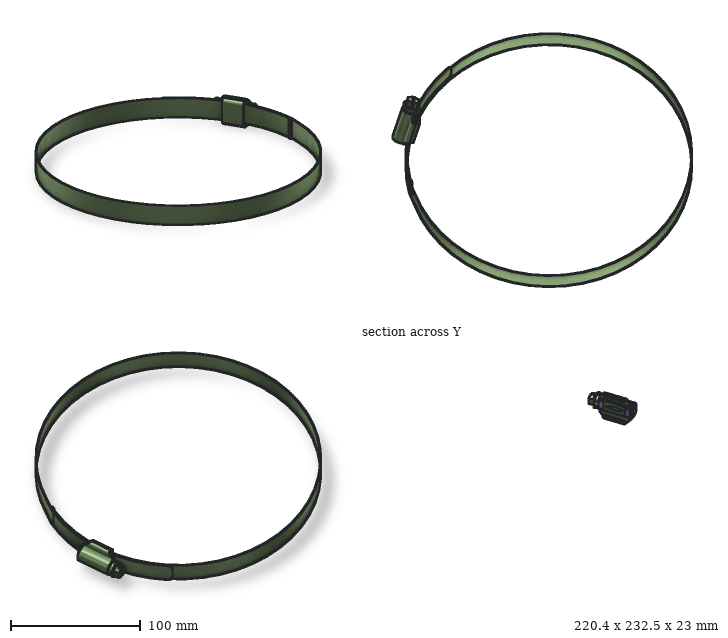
import cadquery as cq
import math

BAND_RADIUS = 110.2
BAND_THICKNESS = 0.7
BAND_WIDTH = 16.0
LAYER_STEP = 1.0
CRIMP_DEPTH = 0.7
INNER_END_ANGLE = 59.8
CRIMP_FOOT_ANGLE = 61.3
CRIMP_TOP_ANGLE = 62.1
RAMP_START_ANGLE = 55.1
RAMP_END_ANGLE = 61.0
TAIL_ANGLE = 120.5
TAIL_CORNER_RADIUS = 3.7
FULL_TURN = 360.0
OVERLAP_RADIUS = BAND_RADIUS + LAYER_STEP

SCREW_Y = 116.0
SHANK_RADIUS = 4.6
COLLAR_RADIUS = 5.3
FLANGE_RADIUS = 6.3
FLANGE_THICKNESS = 0.5
HEAD_ACROSS_FLATS = 8.5
HEAD_START_X = -23.0
FLANGE_START_X = -18.1
SLOT_WIDTH = 1.5
SLOT_DEPTH = 2.5
PILOT_RADIUS = 3.0
PILOT_END_X = 15.3

HOUSING_HALF_LENGTH = 13.7
BARREL_RADIUS = 6.3
WING_TOP_Y = 113.6
WING_THICKNESS = 1.5
WING_UNDERSIDE_Y = WING_TOP_Y - WING_THICKNESS
HOOK_TIP_Y = 110.0
HOOK_THICKNESS = 1.2
HOUSING_HALF_WIDTH = 23.0 / 2
HOOK_BEND_RADIUS = 2.0
HOOK_INNER_RADIUS = HOOK_BEND_RADIUS - HOOK_THICKNESS
LEG_BEND_RADIUS = 0.5
BAND_GAP = 0.5
WING_TIP_HALF_LENGTH = 18.0 / 2

SADDLE_HALF_LENGTH = WING_TIP_HALF_LENGTH
SADDLE_BOTTOM_Y = 106.5
SADDLE_THICKNESS = 2.0
SADDLE_BEND_RADIUS = 2.8
SADDLE_HALF_WIDTH = HOUSING_HALF_WIDTH - HOOK_THICKNESS
SADDLE_TOP_Y = WING_UNDERSIDE_Y - HOOK_INNER_RADIUS


def polar(radius, angle):
    return (radius * math.cos(math.radians(angle)), radius * math.sin(math.radians(angle)))


def trace_face(sketch, stations, offset):
    """Follow one face of the strip: arcs at constant radius, straight lines where it changes."""
    for (angle, radius), (next_angle, next_radius) in zip(stations, stations[1:]):
        end = polar(next_radius + offset, next_angle)
        if radius == next_radius:
            middle = polar(radius + offset, (angle + next_angle) / 2)
            sketch = sketch.threePointArc(middle, end)
        else:
            sketch = sketch.lineTo(*end)
    return sketch


def make_band():
    ring = BAND_RADIUS - BAND_THICKNESS
    stations = [
        (INNER_END_ANGLE, ring - CRIMP_DEPTH),
        (CRIMP_FOOT_ANGLE, ring - CRIMP_DEPTH),
        (CRIMP_TOP_ANGLE, ring),
        (FULL_TURN + RAMP_START_ANGLE, ring),
        (FULL_TURN + RAMP_END_ANGLE, ring + LAYER_STEP),
        (FULL_TURN + TAIL_ANGLE, ring + LAYER_STEP),
    ]
    start_angle, start_radius = stations[0]
    tail_angle, tail_radius = stations[-1]
    outline = cq.Workplane("XY").workplane(offset=-BAND_WIDTH / 2)
    outline = outline.moveTo(*polar(start_radius, start_angle))
    outline = trace_face(outline, stations, 0)
    outline = outline.lineTo(*polar(tail_radius + BAND_THICKNESS, tail_angle))
    outline = trace_face(outline, stations[::-1], BAND_THICKNESS)
    strip = outline.close().extrude(BAND_WIDTH)
    tail_x, tail_y = polar(tail_radius + BAND_THICKNESS / 2, tail_angle)
    for tail_z in (-BAND_WIDTH / 2, BAND_WIDTH / 2):
        tail_corner = cq.selectors.NearestToPointSelector((tail_x, tail_y, tail_z))
        strip = strip.edges(tail_corner).fillet(TAIL_CORNER_RADIUS)
    return strip


def screw_plane(x):
    """Plane square to the screw axis; local x is +Y and local y is +Z."""
    return cq.Workplane("YZ", origin=(x, SCREW_Y, 0))


def make_screw():
    flange_end = FLANGE_START_X + FLANGE_THICKNESS
    corner_diameter = HEAD_ACROSS_FLATS / math.cos(math.pi / 6)
    head = (
        screw_plane(HEAD_START_X)
        .transformed(rotate=(0, 0, 90))
        .polygon(6, corner_diameter)
        .extrude(FLANGE_START_X - HEAD_START_X)
    )
    slot = screw_plane(HEAD_START_X).rect(SLOT_WIDTH, 2 * corner_diameter).extrude(SLOT_DEPTH)
    flange = screw_plane(FLANGE_START_X).circle(FLANGE_RADIUS).extrude(FLANGE_THICKNESS)
    collar = screw_plane(flange_end).circle(COLLAR_RADIUS).extrude(-HOUSING_HALF_LENGTH - flange_end)
    shank = screw_plane(-HOUSING_HALF_LENGTH).circle(SHANK_RADIUS).extrude(2 * HOUSING_HALF_LENGTH)
    pilot = screw_plane(HOUSING_HALF_LENGTH).circle(PILOT_RADIUS).extrude(PILOT_END_X - HOUSING_HALF_LENGTH)
    return head.cut(slot).union(flange).union(collar).union(shank).union(pilot)


def make_channel(half_length, half_width, rounded_y, square_y, bend_radius):
    """Solid bar along X from rounded_y to square_y, its two long edges at rounded_y rounded."""
    bar = (
        cq.Workplane("YZ", origin=(-half_length, 0, 0))
        .center((rounded_y + square_y) / 2, 0)
        .rect(abs(square_y - rounded_y), 2 * half_width)
        .extrude(2 * half_length)
    )
    rounded_side = "<Y" if rounded_y < square_y else ">Y"
    return bar.faces(rounded_side).edges("|X").fillet(bend_radius)


def make_housing():
    length = 2 * HOUSING_HALF_LENGTH
    hooks = make_channel(HOUSING_HALF_LENGTH, HOUSING_HALF_WIDTH, WING_TOP_Y, HOOK_TIP_Y, HOOK_BEND_RADIUS)
    hollow = make_channel(
        HOUSING_HALF_LENGTH,
        HOUSING_HALF_WIDTH - HOOK_THICKNESS,
        WING_UNDERSIDE_Y,
        HOOK_TIP_Y,
        HOOK_INNER_RADIUS,
    )
    taper = HOUSING_HALF_WIDTH - (HOUSING_HALF_LENGTH - WING_TIP_HALF_LENGTH)
    footprint = (
        cq.Workplane("XZ")
        .polyline([
            (-HOUSING_HALF_LENGTH, -taper),
            (-WING_TIP_HALF_LENGTH, -HOUSING_HALF_WIDTH),
            (WING_TIP_HALF_LENGTH, -HOUSING_HALF_WIDTH),
            (HOUSING_HALF_LENGTH, -taper),
            (HOUSING_HALF_LENGTH, taper),
            (WING_TIP_HALF_LENGTH, HOUSING_HALF_WIDTH),
            (-WING_TIP_HALF_LENGTH, HOUSING_HALF_WIDTH),
            (-HOUSING_HALF_LENGTH, taper),
        ])
        .close()
        .extrude(-2 * SCREW_Y)
    )
    wings = hooks.cut(hollow).intersect(footprint)
    legs = (
        cq.Workplane("XY")
        .box(length, SCREW_Y - WING_UNDERSIDE_Y, 2 * BARREL_RADIUS)
        .translate((0, (SCREW_Y + WING_UNDERSIDE_Y) / 2, 0))
    )
    housing = wings.union(legs)
    for side in (-1, 1):
        leg_foot = cq.selectors.NearestToPointSelector((0, WING_TOP_Y, side * BARREL_RADIUS))
        housing = housing.edges(leg_foot).fillet(LEG_BEND_RADIUS)
    barrel = screw_plane(-HOUSING_HALF_LENGTH).circle(BARREL_RADIUS).extrude(length)
    bore = screw_plane(-HOUSING_HALF_LENGTH).circle(SHANK_RADIUS).extrude(length)
    band_clearance = cq.Workplane("XY").circle(OVERLAP_RADIUS + BAND_GAP).extrude(BAND_WIDTH / 2, both=True)
    return housing.union(barrel).cut(bore).cut(band_clearance)


def make_saddle():
    outside = make_channel(
        SADDLE_HALF_LENGTH, SADDLE_HALF_WIDTH, SADDLE_BOTTOM_Y, SADDLE_TOP_Y, SADDLE_BEND_RADIUS
    )
    inside = make_channel(
        SADDLE_HALF_LENGTH,
        SADDLE_HALF_WIDTH - SADDLE_THICKNESS,
        SADDLE_BOTTOM_Y + SADDLE_THICKNESS,
        SADDLE_TOP_Y,
        SADDLE_BEND_RADIUS - SADDLE_THICKNESS,
    )
    return outside.cut(inside)


band = make_band()
screw = make_screw()
housing = make_housing()
saddle = make_saddle()

result = cq.Compound.makeCompound([body.solids().val() for body in (band, screw, housing, saddle)])